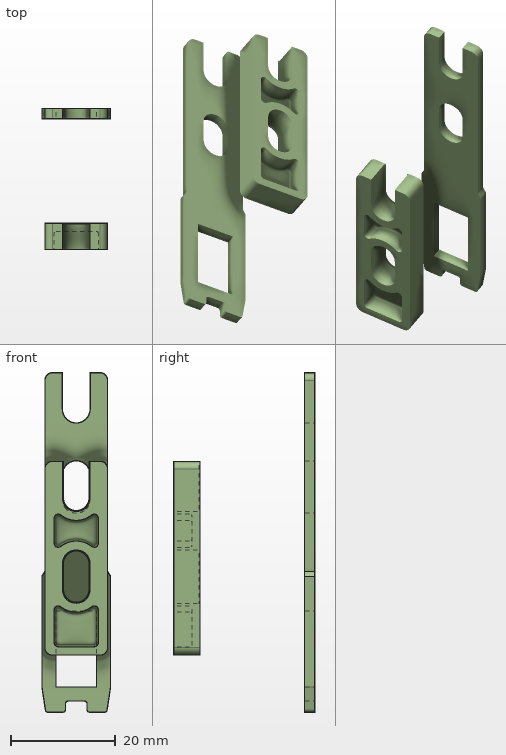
import cadquery as cq

narrow_width = 12.0
slot_width = 5.25
corner_radius = 1.5
slot_radius = slot_width / 2

plate_height = 64.9
plate_thickness = 2.0
plate_back_y = 27.0
wide_width = 13.2
shoulder_top = 26.95
shoulder_height = 1.0
taper_height = 4.85
foot_width = 11.7
foot_corner_radius = 0.5
notch_width = 4.1
notch_height = 2.15
notch_corner_radius = 0.5
fork_depth = 9.6
plate_hole_top = 48.0
plate_hole_length = 10.0
window_width = 7.65
window_bottom = 4.85
window_height = 14.5

block_bottom = 10.9
block_height = 37.05
block_depth = 5.05
block_slot_depth = 9.6
lip_width = 0.2
lip_depth = 0.2
oval_bottom = 20.85
oval_length = 10.2
pocket_width = 8.45
pocket_depth = 3.5
pocket_bottom = 12.5
pocket_wall = 1.7
pocket_arc_radius = 4.8
pocket_corner_radius = 0.8
pocket_floor_radius = 0.4

block_top = block_bottom + block_height
slot_end_z = block_top - block_slot_depth + slot_radius
oval_low_z = oval_bottom + slot_radius
oval_high_z = oval_bottom + oval_length - slot_radius


def prism(sketch, front_y, depth):
    """Extrude a closed XZ outline from front_y toward +Y."""
    return sketch.extrude(-depth).translate((0, front_y, 0))


def xz_box(width, bottom, height, front_y, depth):
    """Box centred on X = 0, standing on Z = bottom."""
    outline = cq.Workplane("XZ").center(0, bottom + height / 2).rect(width, height)
    return prism(outline, front_y, depth)


def xz_disc(radius, center_z, front_y, depth):
    """Disc on X = 0 with its axis along Y."""
    return prism(cq.Workplane("XZ").center(0, center_z).circle(radius), front_y, depth)


def upright_slot(radius, low_z, high_z, front_y, depth):
    """Round-ended slot whose end centres are at low_z and high_z."""
    outline = (
        cq.Workplane("XZ")
        .moveTo(-radius, low_z)
        .threePointArc((0, low_z - radius), (radius, low_z))
        .lineTo(radius, high_z)
        .threePointArc((0, high_z + radius), (-radius, high_z))
        .close()
    )
    return prism(outline, front_y, depth)


def edges_at(body, half_width, z, radius):
    """Round the left and right Y-direction edges at one height."""
    tolerance = 0.03
    for side in (-1, 1):
        x = side * half_width
        picker = cq.selectors.BoxSelector(
            (x - tolerance, 0, z - tolerance),
            (x + tolerance, plate_back_y, z + tolerance),
        )
        body = body.edges("|Y").edges(picker).fillet(radius)
    return body


def make_plate():
    front_y = plate_back_y - plate_thickness
    right_side = [
        (notch_width / 2, notch_height),
        (notch_width / 2, 0),
        (foot_width / 2, 0),
        (wide_width / 2, taper_height),
        (wide_width / 2, shoulder_top - shoulder_height),
        (narrow_width / 2, shoulder_top),
        (narrow_width / 2, plate_height),
    ]
    left_side = [(-x, z) for x, z in reversed(right_side)]
    plate = prism(cq.Workplane("XZ").polyline(right_side + left_side).close(), front_y, plate_thickness)
    plate = edges_at(plate, narrow_width / 2, plate_height, corner_radius)
    plate = edges_at(plate, foot_width / 2, 0, foot_corner_radius)
    plate = edges_at(plate, notch_width / 2, 0, notch_corner_radius)
    plate = edges_at(plate, notch_width / 2, notch_height, notch_corner_radius)

    fork_end_z = plate_height - fork_depth + slot_radius
    fork = upright_slot(slot_radius, fork_end_z, plate_height, front_y, plate_thickness)
    hole_low_z = plate_hole_top - plate_hole_length + slot_radius
    hole_high_z = plate_hole_top - slot_radius
    hole = upright_slot(slot_radius, hole_low_z, hole_high_z, front_y, plate_thickness)
    window = xz_box(window_width, window_bottom, window_height, front_y, plate_thickness)
    return plate.cut(fork).cut(hole).cut(window)


def lipped_slot(low_z, high_z):
    """Through slot that narrows by a small lip at the back face."""
    wide_part = upright_slot(slot_radius, low_z, high_z, 0, block_depth - lip_depth)
    narrow_part = upright_slot(slot_radius - lip_width, low_z, high_z, 0, block_depth)
    return wide_part.union(narrow_part)


def pocket(bottom, top, arc_centers):
    """Blind front pocket whose curved sides bulge inward around the given centres."""
    body = xz_box(pocket_width, bottom, top - bottom, 0, pocket_depth)
    for center_z in arc_centers:
        body = body.cut(xz_disc(pocket_arc_radius, center_z, 0, pocket_depth))
    return body.edges("|Y").fillet(pocket_corner_radius).faces(">Y").edges().fillet(pocket_floor_radius)


def make_block():
    block = xz_box(narrow_width, block_bottom, block_height, 0, block_depth)
    block = block.edges("|Y").fillet(corner_radius)
    slot = lipped_slot(slot_end_z, block_top)
    oval = lipped_slot(oval_low_z, oval_high_z)

    arc_shift = pocket_arc_radius - slot_radius - pocket_wall
    below_oval = oval_low_z + arc_shift
    above_oval = oval_high_z - arc_shift
    below_slot = slot_end_z + arc_shift
    lower_pocket = pocket(pocket_bottom, below_oval, [below_oval])
    upper_pocket = pocket(above_oval, below_slot, [above_oval, below_slot])
    return block.cut(slot).cut(oval).cut(lower_pocket).cut(upper_pocket)


plate = make_plate()
block = make_block()
result = cq.Compound.makeCompound([plate.val(), block.val()])